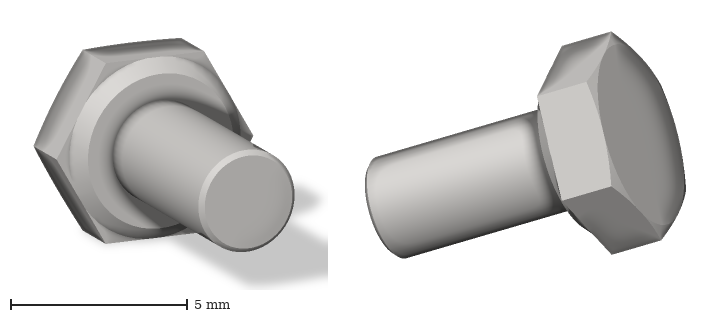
import cadquery as cq
import math

length = 8.12
across_flats = 5.32
head_thickness = 1.73
collar_end = 2.13
collar_end_radius = 2.27
shank_diameter = 3.005
tip_chamfer = 0.14
crown_drop = 0.15

flat_radius = across_flats / 2
corner_radius = flat_radius / math.cos(math.pi / 6)
collar_base_radius = collar_end_radius + collar_end - head_thickness


def make_head():
    """Hexagonal prism trimmed by a turned profile: conical crown, head and tapered collar."""
    hexagon = cq.Workplane("YZ").polygon(6, 2 * corner_radius).extrude(collar_end)
    turned_profile = (
        cq.Workplane("XY")
        .lineTo(0, flat_radius)
        .lineTo(crown_drop, corner_radius)
        .lineTo(head_thickness, corner_radius)
        .lineTo(head_thickness, collar_base_radius)
        .lineTo(collar_end, collar_end_radius)
        .lineTo(collar_end, 0)
        .close()
        .revolve(360, (0, 0, 0), (1, 0, 0))
    )
    return hexagon.intersect(turned_profile)


def make_shank():
    """Plain cylinder with a chamfered tip."""
    return (
        cq.Workplane("YZ")
        .circle(shank_diameter / 2)
        .extrude(length)
        .faces(">X")
        .chamfer(tip_chamfer)
    )


result = make_head().union(make_shank())